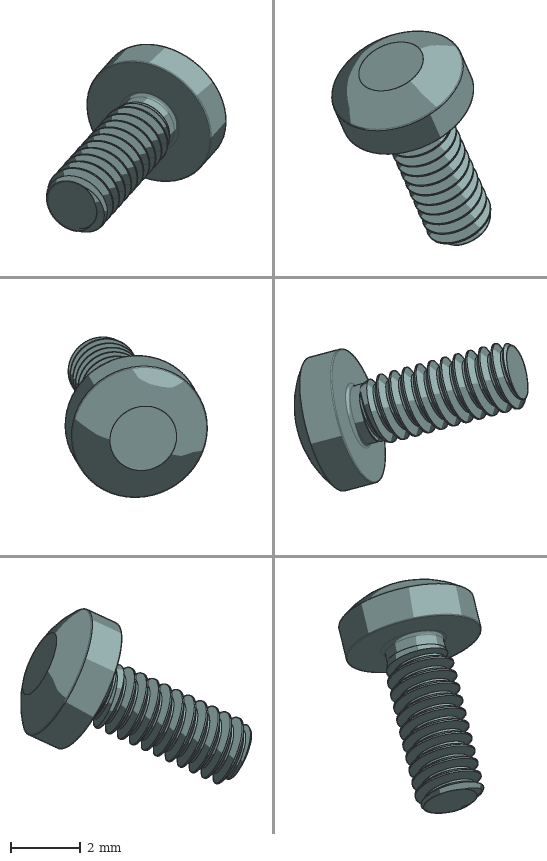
import cadquery as cq
import math


head_radius = 2.0
head_height = 1.6
dome_sphere_radius = 3.0
dome_flat_radius = 0.98
head_edge_round = 0.03

shank_length = 5.0
neck_radius = 0.87
neck_length = 0.4
neck_fillet = 0.1
neck_taper_end = 0.8
tip_radius = 0.84
tip_chamfer_length = 0.22
tip_dimple_radius = 0.8
tip_dimple_depth = 0.04

major_radius = 1.0
pitch = 0.4
root_radius = 0.755
flank_angle = math.radians(30)
crest_width = pitch / 8
full_groove_start = 0.61
groove_turns = 12
runout_turns = 1
runout_root_radius = 1.0
groove_clearance = 0.03

groove_outer_radius = major_radius + groove_clearance
groove_outer_half_width = (pitch - crest_width) / 2 + groove_clearance * math.tan(flank_angle)
groove_root_half_width = (
    groove_outer_half_width - (groove_outer_radius - root_radius) * math.tan(flank_angle)
)


def sphere_height(radius):
    """Height of the dome's sphere above its own centre at a distance from the axis."""
    return math.sqrt(dome_sphere_radius**2 - radius**2)


def make_head():
    """Cylinder with a spherical dome, cut flat at the top, and a rounded lower edge."""
    dome_edge_radius = head_radius - head_edge_round
    sphere_centre = -head_height + sphere_height(dome_flat_radius)
    dome_middle_radius = (dome_flat_radius + dome_edge_radius) / 2

    def dome_point(radius):
        return (radius, sphere_centre - sphere_height(radius))

    dome_edge = dome_point(dome_edge_radius)
    profile = (
        cq.Workplane("YZ")
        .moveTo(0, 0)
        .lineTo(0, -head_height)
        .lineTo(dome_flat_radius, -head_height)
        .threePointArc(dome_point(dome_middle_radius), dome_edge)
        .lineTo(head_radius, dome_edge[1] + head_edge_round)
        .lineTo(head_radius, -head_edge_round)
        .radiusArc((head_radius - head_edge_round, 0), -head_edge_round)
        .close()
    )
    return profile.revolve(360, (0, 0, 0), (0, 1, 0))


def make_shank():
    """Unthreaded shank: fillet under the head, neck, taper up to the thread, tip chamfer, tip dimple."""
    profile = (
        cq.Workplane("YZ")
        .moveTo(0, -head_edge_round)
        .lineTo(neck_radius + neck_fillet, -head_edge_round)
        .lineTo(neck_radius + neck_fillet, 0)
        .radiusArc((neck_radius, neck_fillet), neck_fillet)
        .lineTo(neck_radius, neck_length)
        .lineTo(major_radius, neck_taper_end)
        .lineTo(major_radius, shank_length - tip_chamfer_length)
        .lineTo(tip_radius, shank_length)
        .lineTo(tip_dimple_radius, shank_length)
        .lineTo(0, shank_length - tip_dimple_depth)
        .close()
    )
    return profile.revolve(360, (0, 0, 0), (0, 1, 0))


def make_helix(start_radius, end_radius, start_height, turns):
    """Right-handed helix of the thread's pitch, cylindrical or conical."""
    rise = turns * pitch
    start_centre = cq.Vector(0, 0, start_height)
    if start_radius == end_radius:
        helix = cq.Wire.makeHelix(pitch, rise, start_radius, center=start_centre)
    else:
        cone_angle = math.atan2(end_radius - start_radius, rise)
        helix = cq.Wire.makeHelix(
            pitch / math.cos(cone_angle),
            rise / math.cos(cone_angle),
            start_radius,
            center=start_centre,
            angle=math.degrees(cone_angle),
        )
    return helix.Edges()[0]


def make_groove(start_root_radius, start_height, turns):
    """Thread groove cutter whose root goes from the given radius to the full depth."""

    def outer_edge(offset):
        return make_helix(groove_outer_radius, groove_outer_radius, start_height + offset, turns)

    def root_edge(offset):
        return make_helix(start_root_radius, root_radius, start_height + offset, turns)

    corner_edges = [
        outer_edge(-groove_outer_half_width),
        root_edge(-groove_root_half_width),
        root_edge(groove_root_half_width),
        outer_edge(groove_outer_half_width),
    ]
    next_edges = corner_edges[1:] + corner_edges[:1]
    faces = [cq.Face.makeRuledSurface(a, b) for a, b in zip(corner_edges, next_edges)]
    for corners in (
        [edge.startPoint() for edge in corner_edges],
        [edge.endPoint() for edge in corner_edges],
    ):
        faces.append(cq.Face.makeFromWires(cq.Wire.makePolygon(corners, close=True)))
    return cq.Solid.makeSolid(cq.Shell.makeShell(faces))


def cut_thread(blank):
    """Cut the full-depth groove turn by turn, and the run-out that fades it towards the head."""
    runout_start = full_groove_start - runout_turns * pitch
    threaded = blank.cut(cq.Workplane(make_groove(runout_root_radius, runout_start, runout_turns)))
    for turn in range(groove_turns):
        turn_start = full_groove_start + turn * pitch
        threaded = threaded.cut(cq.Workplane(make_groove(root_radius, turn_start, 1)))
    return threaded


screw = make_head().union(cut_thread(make_shank()))
result = screw.rotate((0, 0, 0), (1, 0, 0), 90)